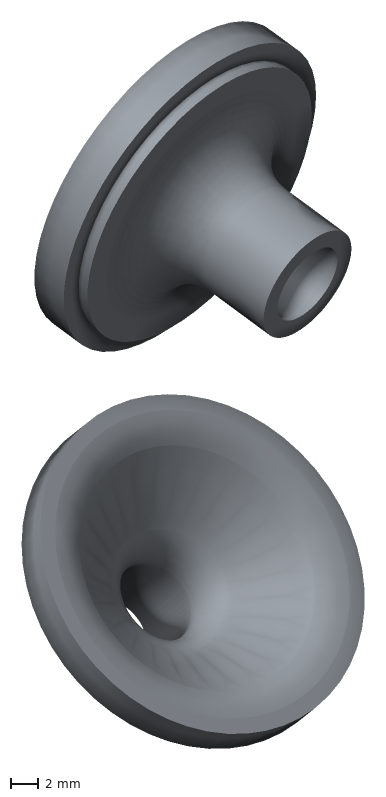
import cadquery as cq
import math

length = 15.0
flange_radius = 13.5
flange_thickness = 3.0
step_radius = 24.0 / 2
step_thickness = 1.0

relief_width = 0.1
relief_depth = 0.1

neck_radius = 9.4 / 2
neck_fillet_radius = 5.0

bore_radius = 6.4 / 2
mouth_radius = 12.25
flare_round_radius = 4.0
throat_depth = 8.0

relief_end = flange_thickness + relief_width
relief_radius = step_radius - relief_depth
step_end = flange_thickness + step_thickness
neck_start = step_end + neck_fillet_radius

mouth_center = (flare_round_radius, mouth_radius)
throat_center = (throat_depth, bore_radius + flare_round_radius)

cone_angle = math.atan2(throat_center[0] - mouth_center[0], mouth_center[1] - throat_center[1])


def point_on_round(center, radius, angle):
    """Point on a round; angle 0 faces the mouth and 90 degrees faces the axis."""
    return (center[0] - radius * math.cos(angle), center[1] - radius * math.sin(angle))


def flare_point(center, angle):
    return point_on_round(center, flare_round_radius, angle)


fillet_center = (neck_start, neck_radius + neck_fillet_radius)

profile = (
    cq.Workplane("XY")
    .moveTo(0, mouth_radius)
    .lineTo(0, flange_radius)
    .lineTo(flange_thickness, flange_radius)
    .lineTo(flange_thickness, relief_radius)
    .lineTo(relief_end, relief_radius)
    .lineTo(relief_end, step_radius)
    .lineTo(step_end, step_radius)
    .lineTo(step_end, fillet_center[1])
    .threePointArc(
        point_on_round(fillet_center, neck_fillet_radius, math.pi / 4),
        (neck_start, neck_radius),
    )
    .lineTo(length, neck_radius)
    .lineTo(length, bore_radius)
    .lineTo(throat_depth, bore_radius)
    .threePointArc(
        flare_point(throat_center, (math.pi / 2 + cone_angle) / 2),
        flare_point(throat_center, cone_angle),
    )
    .lineTo(*flare_point(mouth_center, cone_angle))
    .threePointArc(flare_point(mouth_center, cone_angle / 2), (0, mouth_radius))
    .close()
)

result = profile.revolve(360, (0, 0, 0), (1, 0, 0))